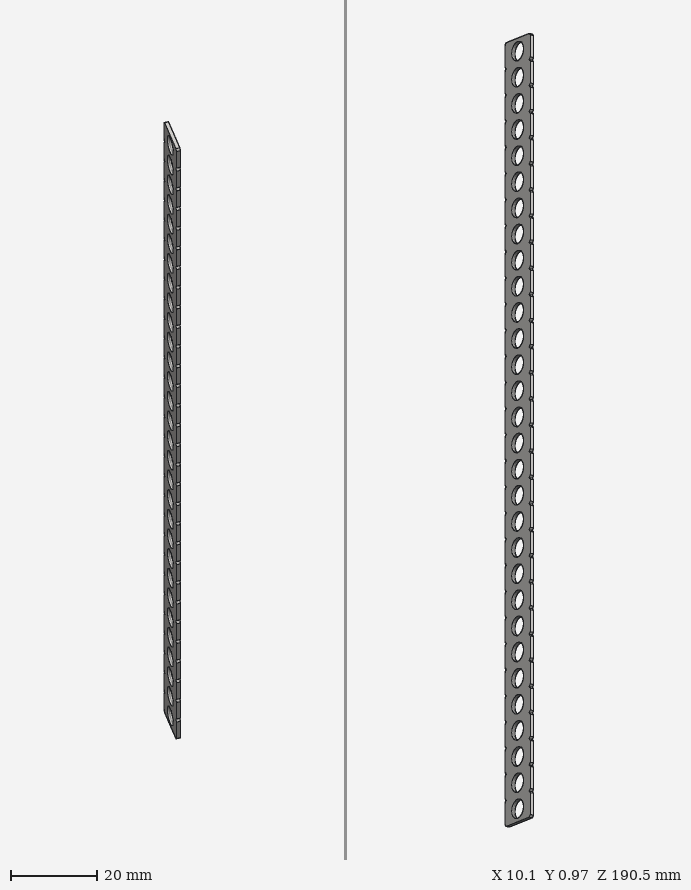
import cadquery as cq

length = 190.5
width = 10.1
thickness = 0.97
segment_count = 30
pitch = length / segment_count
hole_web = 1.73
hole_diameter = pitch - hole_web
notch_depth = 0.48
notch_half_height = 0.51


def segment_bottom(index):
    """Height of the lower end of a segment, with the bar centred on the origin."""
    return -length / 2 + index * pitch


def segment_outline():
    """Rise along the right edge of every segment, then descend along the left edge.

    Each segment has bevelled corners, so neighbouring segments form a V notch.
    """
    half_width = width / 2
    notch_root = half_width - notch_depth
    right_edge = []
    for index in range(segment_count):
        bottom = segment_bottom(index)
        right_edge += [
            (notch_root, bottom),
            (half_width, bottom + notch_half_height),
            (half_width, bottom + pitch - notch_half_height),
        ]
    right_edge.append((notch_root, length / 2))
    left_edge = [(-x, z) for x, z in reversed(right_edge)]
    return right_edge + left_edge


def plate():
    """Notched plate, centred on the XZ plane."""
    return cq.Workplane("XZ").polyline(segment_outline()).close().extrude(thickness / 2, both=True)


def holes():
    """One through hole at the centre of each segment."""
    centres = [(0, segment_bottom(index) + pitch / 2) for index in range(segment_count)]
    return (
        cq.Workplane("XZ")
        .pushPoints(centres)
        .circle(hole_diameter / 2)
        .extrude(thickness, both=True)
    )


result = plate().cut(holes())